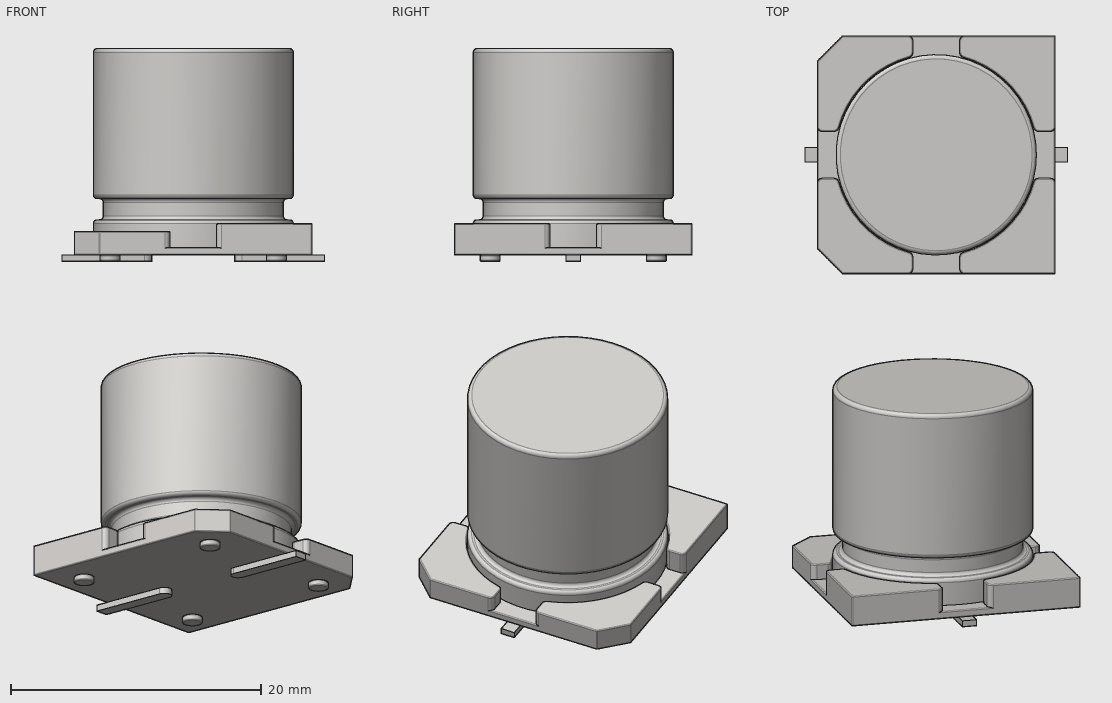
import cadquery as cq

overall_length = 21.0
overall_height = 17.0
base_width = 19.0

lead_width = 1.18
lead_thickness = 0.5
lead_inner_end = 3.3
pin_diameter = 1.6
pin_offset = 6.64

slab_thickness = 0.6
low_pad_top = 2.4
high_pad_top = 3.0
corner_cut = 2.02
channel_width = 3.74
pad_corner_radius = 0.4
edge_radius = 0.08
pad_clearance = 0.08

can_diameter = 16.0
neck_diameter = 14.4
can_top_radius = 0.34
groove_bottom = 3.32
groove_top = 5.0
groove_radius = 0.32

slab_top = lead_thickness + slab_thickness
slab_middle = lead_thickness + slab_thickness / 2


def base_outline_prism(bottom, top):
    """Square base outline with both -X corners cut off and all corners slightly rounded."""
    prism = (
        cq.Workplane("XY", origin=(0, 0, bottom))
        .rect(base_width, base_width)
        .extrude(top - bottom)
    )
    prism = prism.edges("|Z and <X").chamfer(corner_cut)
    return prism.edges("|Z").fillet(edge_radius)


def make_slab():
    """Thin plate, rounded along its top and bottom rims."""
    slab = base_outline_prism(lead_thickness, slab_top)
    return slab.faces("|Z").edges().fillet(edge_radius)


def make_pad(x_side, y_side, top):
    """One corner pad, bounded by the base outline, two channels and the can."""
    half_channel = channel_width / 2
    height = top - slab_middle
    quarter_side = (base_width - channel_width) / 2
    quarter_centre = (base_width + channel_width) / 4
    quarter = (
        cq.Workplane("XY", origin=(x_side * quarter_centre, y_side * quarter_centre, slab_middle))
        .rect(quarter_side, quarter_side)
        .extrude(height)
    )
    can_space = (
        cq.Workplane("XY", origin=(0, 0, slab_middle))
        .circle(can_diameter / 2 + pad_clearance)
        .extrude(height)
    )
    pad = base_outline_prism(slab_middle, top).intersect(quarter).cut(can_space)

    x_end = "<X" if x_side > 0 else ">X"
    y_end = "<Y" if y_side > 0 else ">Y"
    pad = pad.edges(f"|Z and ({x_end} or {y_end})").fillet(pad_corner_radius)
    return pad.faces(">Z").edges().fillet(edge_radius)


def make_can():
    """Turned can that stands on the slab, with every edge above its foot rounded."""
    can_radius = can_diameter / 2
    neck_radius = neck_diameter / 2
    can = (
        cq.Workplane("XZ")
        .moveTo(0, slab_middle)
        .lineTo(can_radius, slab_middle)
        .lineTo(can_radius, groove_bottom)
        .lineTo(neck_radius, groove_bottom)
        .lineTo(neck_radius, groove_top)
        .lineTo(can_radius, groove_top)
        .lineTo(can_radius, overall_height)
        .lineTo(0, overall_height)
        .close()
        .revolve(360, (0, 0, 0), (0, 1, 0))
    )
    can = can.edges("%CIRCLE and (not <Z) and (not >Z)").fillet(groove_radius)
    return can.edges(">Z").fillet(can_top_radius)


def make_lead(x_side):
    """Flat lead with a round inner end."""
    outer_end = x_side * overall_length / 2
    round_centre = x_side * (lead_inner_end + lead_width / 2)
    return (
        cq.Workplane("XY")
        .moveTo(outer_end, -lead_width / 2)
        .lineTo(round_centre, -lead_width / 2)
        .threePointArc((x_side * lead_inner_end, 0), (round_centre, lead_width / 2))
        .lineTo(outer_end, lead_width / 2)
        .close()
        .extrude(lead_thickness)
    )


def make_pins():
    """Four round standoff pins with both ends rounded."""
    return (
        cq.Workplane("XY")
        .rect(2 * pin_offset, 2 * pin_offset, forConstruction=True)
        .vertices()
        .circle(pin_diameter / 2)
        .extrude(lead_thickness)
        .edges("%CIRCLE")
        .fillet(edge_radius)
    )


result = make_slab().union(make_can()).union(make_pins())
for x_side, pad_top in ((-1, low_pad_top), (1, high_pad_top)):
    result = result.union(make_lead(x_side))
    for y_side in (-1, 1):
        result = result.union(make_pad(x_side, y_side, pad_top))